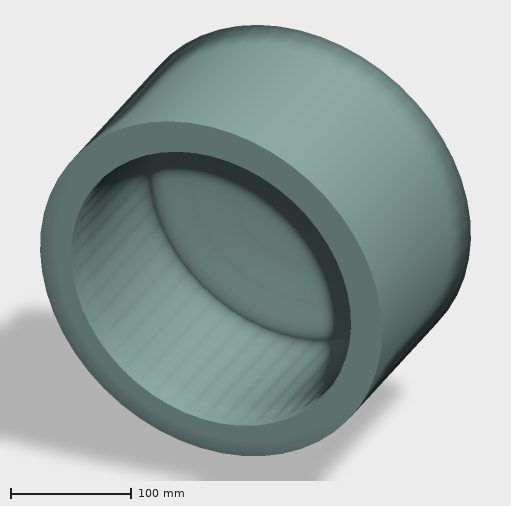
import cadquery as cq
import math

outer_diameter = 315.0
wall = 28.6
skirt_length = 171.0
overall_length = 199.08

outer_radius = outer_diameter / 2
inner_radius = outer_radius - wall
dome_rise = overall_length - skirt_length
outer_dome_radius = (outer_radius**2 + dome_rise**2) / (2 * dome_rise)
inner_dome_radius = outer_dome_radius - wall
dome_center_y = overall_length - outer_dome_radius


def dome_y(sphere_radius, distance):
    """Y of a dome surface at a given distance from the axis."""
    return dome_center_y + math.sqrt(sphere_radius**2 - distance**2)


def domed_cylinder(radius, sphere_radius):
    """Solid cylinder along +Y from Y = 0, closed by a spherical dome."""
    arc_middle = radius / 2
    return (
        cq.Workplane("YZ")
        .moveTo(0, 0)
        .lineTo(0, radius)
        .lineTo(dome_y(sphere_radius, radius), radius)
        .threePointArc(
            (dome_y(sphere_radius, arc_middle), arc_middle),
            (dome_y(sphere_radius, 0), 0),
        )
        .close()
        .revolve(360, (0, 0, 0), (1, 0, 0))
    )


cap = domed_cylinder(outer_radius, outer_dome_radius)
cavity = domed_cylinder(inner_radius, inner_dome_radius)

result = cap.cut(cavity)